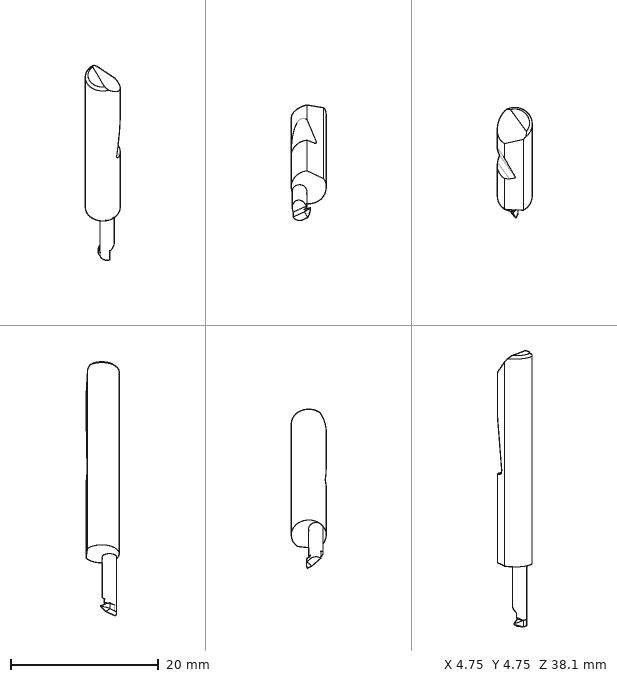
import cadquery as cq
import math

total_length = 38.1
shank_diameter = 4.75
shank_radius = shank_diameter / 2
shank_bottom = 8.88
top_chamfer = 0.4
margin = 0.4

flat_distance = 2.02
flat_angle = 142.7

bevel_start_y = -0.6

notch_floor_angle = 9.0
notch_wall_z = 21.15
notch_depth = 1.4
notch_fillet = 0.75

neck_radius = 1.0
neck_x = shank_radius - neck_radius

rake_slope_top = 2.8
rake_slope_bottom = 1.9
rake_face_y = -0.05

head_left_x = 0.65
head_height = 0.9
relief_depth = 0.35
tooth_tip_x = -0.23
tooth_tip_z = 0.5
tooth_land = 0.15
tooth_flank_angle = 30.0
tooth_clearance_bulge = 0.1


def make_shank():
    """Chamfered bar with the side flat and the top bevel."""
    length = total_length - shank_bottom
    shank = cq.Workplane("XY").workplane(offset=shank_bottom).circle(shank_radius).extrude(length)
    shank = shank.faces(">Z").chamfer(top_chamfer)

    flat_cutter = (
        cq.Workplane("XY")
        .box(shank_radius, 2 * shank_radius, total_length, centered=(False, True, False))
        .translate((flat_distance, 0, 0))
        .rotate((0, 0, 0), (0, 0, 1), flat_angle)
    )

    outer_y = shank_radius + margin
    bevel_drop = outer_y - bevel_start_y
    bevel_cutter = extrude_across([
        (bevel_start_y, total_length),
        (outer_y, total_length),
        (outer_y, total_length - bevel_drop),
    ])
    return shank.cut(flat_cutter).cut(bevel_cutter)


def extrude_across(points):
    """Prism along X, spanning the shank, from a YZ outline."""
    return cq.Workplane("YZ").polyline(points).close().extrude(shank_radius + margin, both=True)


def make_notch():
    """Sloped notch whose short wall is square to its long floor."""
    slope = math.tan(math.radians(notch_floor_angle))
    corner_y = shank_radius - notch_depth
    corner_z = notch_wall_z + notch_depth * slope
    outer_y = shank_radius + margin
    notch = extrude_across([
        (corner_y, corner_z),
        (outer_y, notch_wall_z - margin * slope),
        (outer_y, corner_z + (notch_depth + margin) / slope),
    ])
    return notch.edges("|X").edges("<Y").fillet(notch_fillet)


def make_neck():
    """Round neck with the rake face and the relief above the tooth."""
    neck = cq.Workplane("XY").center(neck_x, 0).circle(neck_radius).extrude(shank_bottom)
    rake_cutter = extrude_across([
        (rake_face_y, 0),
        (rake_face_y, rake_slope_bottom),
        (neck_radius, rake_slope_top),
        (neck_radius, 0),
    ])
    neck_left_x = neck_x - neck_radius
    relief_x = neck_left_x + relief_depth
    relief_cutter = (
        cq.Workplane("XZ")
        .polyline([
            (neck_left_x, 0),
            (relief_x, 0),
            (relief_x, head_height),
            (neck_left_x, head_height + relief_depth),
        ])
        .close()
        .extrude(neck_radius, both=True)
    )
    return neck.cut(rake_cutter).cut(relief_cutter)


def make_head():
    """Square corner block that fills out the round at the neck's end."""
    return cq.Workplane("XY").box(
        neck_x - head_left_x, neck_radius + rake_face_y, head_height, centered=False
    ).translate((head_left_x, -neck_radius, 0))


def make_tooth():
    """Pointed tooth with a small land and an arched clearance behind its cutting face."""
    flank_rise = (head_left_x - tooth_tip_x) * math.tan(math.radians(tooth_flank_angle))
    half_land = tooth_land / 2
    half_base = min(half_land + flank_rise, tooth_tip_z)
    side_profile = (
        cq.Workplane("XZ")
        .polyline([
            (tooth_tip_x, tooth_tip_z - half_land),
            (tooth_tip_x, tooth_tip_z + half_land),
            (head_left_x, tooth_tip_z + half_base),
            (neck_x, tooth_tip_z),
            (head_left_x, tooth_tip_z - half_base),
        ])
        .close()
        .extrude(neck_radius)
    )
    plan_profile = (
        cq.Workplane("XY")
        .moveTo(tooth_tip_x, rake_face_y)
        .sagittaArc((head_left_x, -neck_radius), -tooth_clearance_bulge)
        .lineTo(neck_x, -neck_radius)
        .lineTo(neck_x, rake_face_y)
        .close()
        .extrude(tooth_tip_z + half_base)
    )
    return side_profile.intersect(plan_profile)


shank = make_shank().cut(make_notch())
result = shank.union(make_neck()).union(make_head()).union(make_tooth())